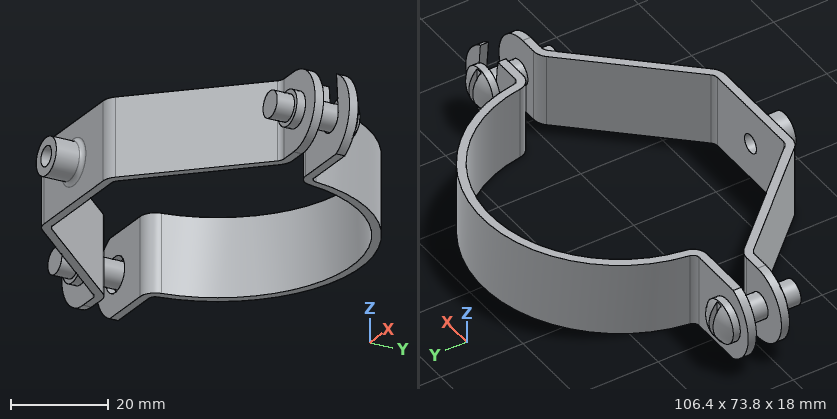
import cadquery as cq
import math

strip_width = 18.0
thickness = 2.0
bend_inner = 2.0
bend_outer = bend_inner + thickness
half_length = 53.2

ring_outer = 33.5
ring_inner = ring_outer - thickness
ear_bend_inner = 1.5
ear_bend_outer = ear_bend_inner + thickness
ear_bottom = 1.2
ear_top = ear_bottom + thickness
upper_end_radius = 10.0

strap_gap = 6.1
lower_top = ear_bottom - strap_gap
lower_bottom = lower_top - thickness
base_bottom = -33.9
base_half_length = 14.2
leg_slope = 47.0

screw_x = 45.3
shank_diameter = 6.0
shank_end = -13.0
head_diameter = 10.0
head_rim = 1.7
dome_height = 2.2
driver_slot_width = 1.5
driver_slot_depth = 2.0
clearance_hole = 8.0
side_slot_width = 6.5
side_slot_tilt = 5.4

collar_diameter = 8.0
collar_height = 2.0

boss_diameter = 8.5
boss_end = -40.3
boss_fillet = 1.0
boss_bore = 4.5


def polar(radius, angle, center=(0, 0)):
    """Point at a radius and an angle in degrees about a centre."""
    turn = math.radians(angle)
    return (center[0] + radius * math.cos(turn), center[1] + radius * math.sin(turn))


def y_cylinder(x, diameter, y_start, y_end):
    """Cylinder along Y with its axis at the given X and at Z = 0."""
    base = cq.Workplane("XZ", origin=(x, y_start, 0))
    return base.circle(diameter / 2).extrude(y_start - y_end)


def ear_outline(end_radius):
    """Block along Y with the XZ outline of a strap, whose ends are arcs."""
    half_width = strip_width / 2
    corner_x = half_length - end_radius + math.sqrt(end_radius**2 - half_width**2)
    return (
        cq.Workplane("XZ")
        .moveTo(-corner_x, -half_width)
        .lineTo(corner_x, -half_width)
        .threePointArc((half_length, 0), (corner_x, half_width))
        .lineTo(-corner_x, half_width)
        .threePointArc((-half_length, 0), (-corner_x, -half_width))
        .close()
        .extrude(half_length, both=True)
    )


def extrude_strip(profile):
    """Strip with the given XY profile, centred on Z = 0."""
    return profile.extrude(strip_width / 2, both=True)


def upper_band():
    """Half ring with an ear on each side, joined by round bends tangent to both."""
    bend_y = ear_bottom + ear_bend_outer
    bend_x = math.sqrt((ring_outer + ear_bend_inner) ** 2 - bend_y**2)
    join = math.degrees(math.atan2(bend_y, bend_x))
    bend = (bend_x, bend_y)
    bend_start = join + 180
    bend_finish = 270
    middle = (bend_start + bend_finish) / 2

    def mirrored(point):
        return (-point[0], point[1])

    outer_join = polar(ring_outer, join)
    inner_join = polar(ring_inner, join)
    outer_middle = polar(ear_bend_inner, middle, bend)
    inner_middle = polar(ear_bend_outer, middle, bend)
    return extrude_strip(
        cq.Workplane("XY")
        .moveTo(-half_length, ear_top)
        .lineTo(-bend_x, ear_top)
        .threePointArc(mirrored(outer_middle), mirrored(outer_join))
        .threePointArc((0, ring_outer), outer_join)
        .threePointArc(outer_middle, (bend_x, ear_top))
        .lineTo(half_length, ear_top)
        .lineTo(half_length, ear_bottom)
        .lineTo(bend_x, ear_bottom)
        .threePointArc(inner_middle, inner_join)
        .threePointArc((0, ring_inner), mirrored(inner_join))
        .threePointArc(mirrored(inner_middle), (-bend_x, ear_bottom))
        .lineTo(-half_length, ear_bottom)
        .close()
    )


def upper_strap():
    """Ring strap with a round hole in one ear and a side slot in the other."""
    strap = upper_band().intersect(ear_outline(upper_end_radius))
    strap = strap.cut(y_cylinder(-screw_x, clearance_hole, ear_top, ear_bottom))
    side_slot = (
        cq.Workplane("XZ", origin=(0, ear_top, 0))
        .center(0, strip_width / 2)
        .rect(side_slot_width, strip_width)
        .extrude(thickness)
        .union(y_cylinder(0, side_slot_width, ear_top, ear_bottom))
        .rotate((0, 0, 0), (0, 1, 0), -side_slot_tilt)
        .translate((screw_x, 0, 0))
    )
    return strap.cut(side_slot)


def lower_band():
    """Flat base, two sloping legs and two ears, with round bends."""
    half_angle = math.radians(leg_slope / 2)
    drop = lower_bottom - base_bottom
    corner_x = base_half_length + drop / math.tan(math.radians(leg_slope))
    shift = thickness * math.tan(half_angle)
    sharp = (
        cq.Workplane("XY")
        .moveTo(-half_length, lower_bottom)
        .lineTo(-corner_x, lower_bottom)
        .lineTo(-base_half_length, base_bottom)
        .lineTo(base_half_length, base_bottom)
        .lineTo(corner_x, lower_bottom)
        .lineTo(half_length, lower_bottom)
        .lineTo(half_length, lower_top)
        .lineTo(corner_x - shift, lower_top)
        .lineTo(base_half_length - shift, base_bottom + thickness)
        .lineTo(shift - base_half_length, base_bottom + thickness)
        .lineTo(shift - corner_x, lower_top)
        .lineTo(-half_length, lower_top)
        .close()
    )
    band = extrude_strip(sharp)
    inner_bends = [(corner_x, lower_bottom), (base_half_length - shift, base_bottom + thickness)]
    outer_bends = [(corner_x - shift, lower_top), (base_half_length, base_bottom)]
    for bends, radius in ((inner_bends, bend_inner), (outer_bends, bend_outer)):
        for x, y in bends:
            for side in (-1, 1):
                band = band.edges(cq.selectors.NearestToPointSelector((side * x, y, 0))).fillet(radius)
    return band


def boss():
    """Solid boss with a concave fillet where it meets the base."""
    radius = boss_diameter / 2
    fillet_y = base_bottom - boss_fillet
    fillet_x = radius + boss_fillet
    return (
        cq.Workplane("XY")
        .moveTo(0, base_bottom)
        .lineTo(fillet_x, base_bottom)
        .threePointArc(polar(boss_fillet, 135, (fillet_x, fillet_y)), (radius, fillet_y))
        .lineTo(radius, boss_end)
        .lineTo(0, boss_end)
        .close()
        .revolve(360, (0, 0, 0), (0, 1, 0))
    )


def lower_strap():
    """Base strap with its mounting boss and a threaded collar on each ear."""
    strap = lower_band().intersect(ear_outline(strip_width / 2))
    strap = strap.union(boss())
    strap = strap.cut(y_cylinder(0, boss_bore, base_bottom + thickness, boss_end))
    collar_end = lower_bottom - collar_height
    for x in (-screw_x, screw_x):
        strap = strap.union(y_cylinder(x, collar_diameter, lower_bottom, collar_end))
        strap = strap.cut(y_cylinder(x, shank_diameter, lower_top, collar_end))
    return strap


def screw(x):
    """Slotted pan-head screw along Y, with its head resting on an upper ear."""
    rim_top = ear_top + head_rim
    dome_top = rim_top + dome_height
    head_radius = head_diameter / 2
    dome_radius = (head_radius**2 + dome_height**2) / (2 * dome_height)
    dome_center = (0, dome_top - dome_radius)
    rim_angle = math.degrees(math.asin((rim_top - dome_center[1]) / dome_radius))
    dome_middle = polar(dome_radius, (rim_angle + 90) / 2, dome_center)
    shank_radius = shank_diameter / 2
    body = (
        cq.Workplane("XY")
        .moveTo(0, shank_end)
        .lineTo(shank_radius, shank_end)
        .lineTo(shank_radius, ear_top)
        .lineTo(head_radius, ear_top)
        .lineTo(head_radius, rim_top)
        .threePointArc(dome_middle, (0, dome_top))
        .close()
        .revolve(360, (0, 0, 0), (0, 1, 0))
    )
    slot_cut = (
        cq.Workplane("XY", origin=(0, dome_top - driver_slot_depth / 2, 0))
        .box(driver_slot_width, driver_slot_depth, head_diameter)
    )
    return body.cut(slot_cut).translate((x, 0, 0))


screws = [screw(x) for x in (-screw_x, screw_x)]
bodies = [upper_strap(), lower_strap(), *screws]
result = cq.Compound.makeCompound([body.solids().val() for body in bodies])